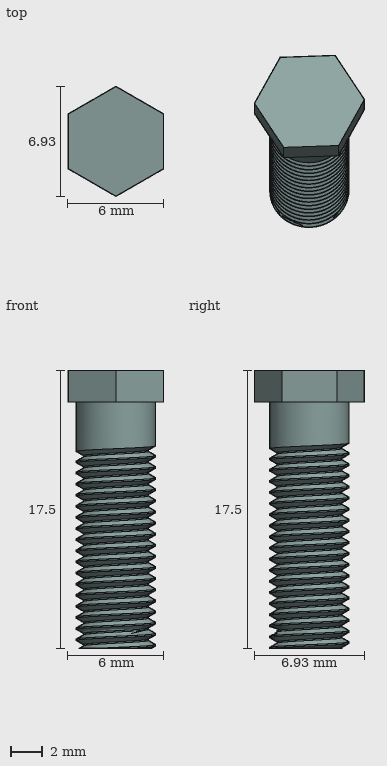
import cadquery as cq
import math

total_length = 17.5
head_height = 2.0
across_flats = 6.0
across_corners = across_flats / math.cos(math.pi / 6)

shank_diameter = 5.0
shank_radius = shank_diameter / 2
shank_length = total_length - head_height
pitch = 0.7
flank_half_angle = math.radians(30)
crest_flat = pitch / 8
root_flat = pitch / 8
groove_mouth = pitch - crest_flat
thread_depth = (groove_mouth - root_flat) / 2 / math.tan(flank_half_angle)
root_radius = shank_radius - thread_depth

groove_end_height = 12.8
groove_turns = math.ceil(groove_end_height / pitch)
groove_length = groove_turns * pitch
groove_start_height = groove_end_height - groove_length
cutter_overlap = 0.07


def make_head():
    head = cq.Workplane("XY").workplane(offset=shank_length)
    return head.polygon(6, across_corners).extrude(head_height).rotate((0, 0, 0), (0, 0, 1), 30)


def make_shank():
    return cq.Workplane("XY").circle(shank_radius).extrude(shank_length)


def make_groove_cutter():
    """Sweep the 60-degree groove profile along a helix that starts and ends on the -X side."""
    outer_radius = shank_radius + cutter_overlap
    outer_half_width = groove_mouth / 2 + cutter_overlap * math.tan(flank_half_angle)
    profile = [
        (root_radius, -root_flat / 2),
        (outer_radius, -outer_half_width),
        (outer_radius, outer_half_width),
        (root_radius, root_flat / 2),
    ]
    path = cq.Wire.makeHelix(pitch, groove_length, root_radius)
    cutter = cq.Workplane("XZ").polyline(profile).close().sweep(path, isFrenet=True)
    return cutter.rotate((0, 0, 0), (0, 0, 1), 180).translate((0, 0, groove_start_height))


threaded_shank = make_shank().cut(make_groove_cutter())
result = make_head().union(threaded_shank)